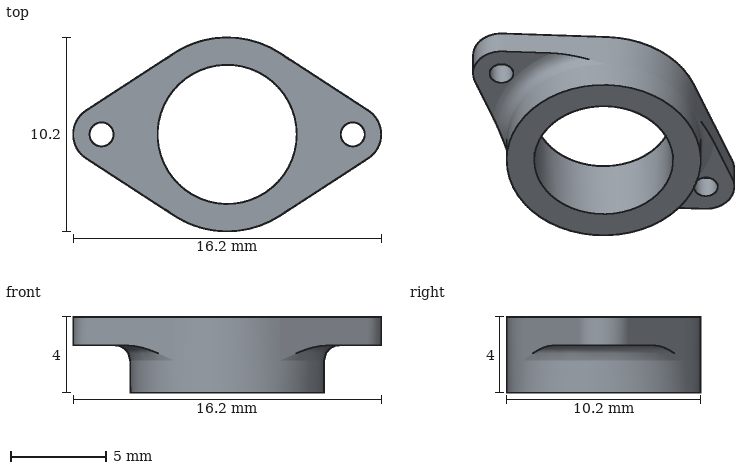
import cadquery as cq
import math

total_height = 4.0
flange_thickness = 1.5
collar_radius = 10.2 / 2
bore_diameter = 7.3
overall_length = 16.2
ear_radius = 1.5
ear_hole_diameter = 1.25
fillet_radius = 0.8

ear_offset = overall_length / 2 - ear_radius
flange_bottom = total_height - flange_thickness
fillet_bottom = flange_bottom - fillet_radius

tangent_cos = (collar_radius - ear_radius) / ear_offset
tangent_sin = math.sqrt(1 - tangent_cos**2)


def flange_outline(bottom, height):
    """Prism of the flange shape: collar and ear arcs joined by tangent lines."""
    collar_x = collar_radius * tangent_cos
    collar_y = collar_radius * tangent_sin
    ear_x = ear_offset + ear_radius * tangent_cos
    ear_y = ear_radius * tangent_sin
    tip_x = overall_length / 2
    return (
        cq.Workplane("XY", origin=(0, 0, bottom))
        .moveTo(-collar_x, collar_y)
        .threePointArc((0, collar_radius), (collar_x, collar_y))
        .lineTo(ear_x, ear_y)
        .threePointArc((tip_x, 0), (ear_x, -ear_y))
        .lineTo(collar_x, -collar_y)
        .threePointArc((0, -collar_radius), (-collar_x, -collar_y))
        .lineTo(-ear_x, -ear_y)
        .threePointArc((-tip_x, 0), (-ear_x, ear_y))
        .close()
        .extrude(height)
    )


def flared_collar():
    """Round collar whose wall sweeps out in a concave fillet to the flange underside."""
    flare_radius = collar_radius + fillet_radius
    arc_middle = (
        flare_radius - fillet_radius * math.cos(math.pi / 4),
        fillet_bottom + fillet_radius * math.sin(math.pi / 4),
    )
    return (
        cq.Workplane("XZ")
        .lineTo(collar_radius, 0)
        .lineTo(collar_radius, fillet_bottom)
        .threePointArc(arc_middle, (flare_radius, flange_bottom))
        .lineTo(0, flange_bottom)
        .close()
        .revolve(360, (0, 0), (0, 1))
    )


collar = flared_collar().intersect(flange_outline(0, total_height))
flange = flange_outline(flange_bottom, flange_thickness)
body = flange.union(collar)

bore = cq.Workplane("XY").circle(bore_diameter / 2).extrude(total_height)
ear_holes = (
    cq.Workplane("XY")
    .pushPoints([(-ear_offset, 0), (ear_offset, 0)])
    .circle(ear_hole_diameter / 2)
    .extrude(total_height)
)

result = body.cut(bore).cut(ear_holes)